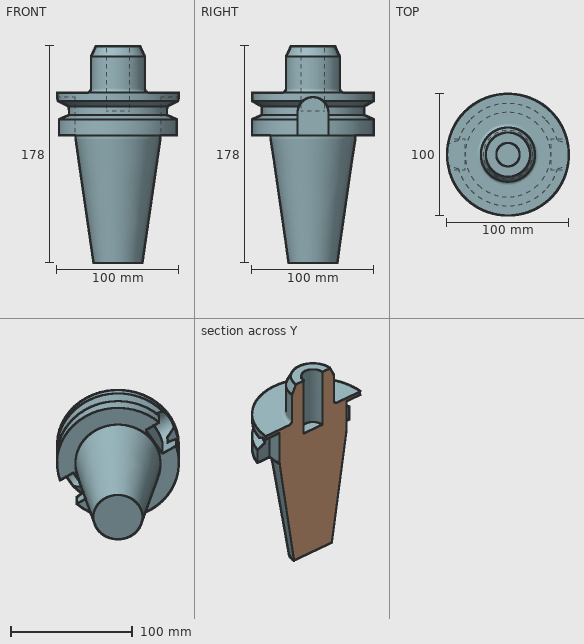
import cadquery as cq

total_height = 178.0

taper_end_radius = 20.1
shank_radius = 34.9
gauge_height = 101.8

flange_radius = 50.0
groove_radius = 42.2
flange_bottom = 104.8
lower_rim_top = 118.0
groove_bottom = 121.5
groove_top = 128.5
upper_rim_bottom = 133.0
flange_top = 139.9

nose_radius = 22.2
nose_tip_radius = 18.2
nose_chamfer_height = 8.7
nose_fillet = 3.0
bore_radius = 9.6
bore_depth = 53.4

slot_width = 25.3
slot_floor = 35.5
slot_crown = flange_top - 3.7


def revolved_body():
    """Taper, flange and nose turned from one half outline (radius, height)."""
    outline = (
        cq.Workplane("XZ")
        .lineTo(taper_end_radius, 0)
        .lineTo(shank_radius, gauge_height)
        .lineTo(shank_radius, flange_bottom)
        .lineTo(flange_radius, flange_bottom)
        .lineTo(flange_radius, lower_rim_top)
        .lineTo(groove_radius, groove_bottom)
        .lineTo(groove_radius, groove_top)
        .lineTo(flange_radius, upper_rim_bottom)
        .lineTo(flange_radius, flange_top)
        .lineTo(nose_radius + nose_fillet, flange_top)
        .radiusArc((nose_radius, flange_top + nose_fillet), nose_fillet)
        .lineTo(nose_radius, total_height - nose_chamfer_height)
        .lineTo(nose_tip_radius, total_height)
        .lineTo(0, total_height)
        .close()
    )
    return outline.revolve(360, (0, 0, 0), (0, 1, 0))


def drive_slot():
    """Round-topped slot cutter for the +X side, open at the flange bottom."""
    half_width = slot_width / 2
    arc_start = slot_crown - half_width
    return (
        cq.Workplane("YZ", origin=(slot_floor, 0, 0))
        .moveTo(-half_width, flange_bottom)
        .lineTo(half_width, flange_bottom)
        .lineTo(half_width, arc_start)
        .threePointArc((0, slot_crown), (-half_width, arc_start))
        .close()
        .extrude(flange_radius)
    )


def nose_bore():
    """Blind bore entering from the tip of the nose."""
    bore_floor = total_height - bore_depth
    return cq.Workplane("XY", origin=(0, 0, bore_floor)).circle(bore_radius).extrude(bore_depth)


result = revolved_body().cut(nose_bore())
for angle in (0, 180):
    result = result.cut(drive_slot().rotate((0, 0, 0), (0, 0, 1), angle))